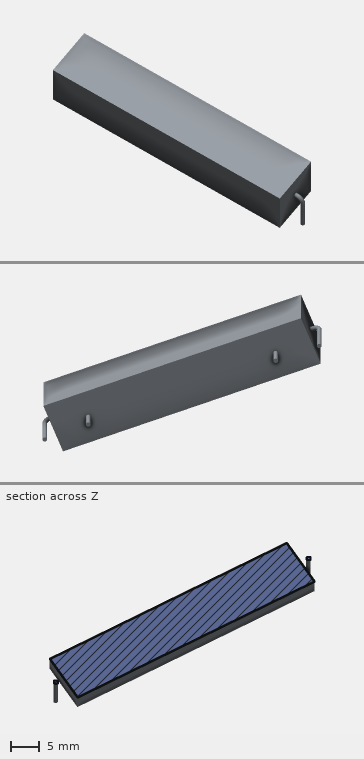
import cadquery as cq

body_length = 47.7
body_width = 9.5
body_height = 8.75

wire_diameter = 0.8
lead_span = 51.6
lead_drop = 2.95
bend_radius = 1.3
inner_pin_spacing = 34.7
embed = 0.5

wire_radius = wire_diameter / 2
end_lead_x = lead_span / 2 - wire_radius
exit_height = body_height / 2


def end_lead():
    """Lead leaving the +X end face and bending down to the tip."""
    path = (
        cq.Workplane("XZ")
        .moveTo(end_lead_x, -lead_drop)
        .lineTo(end_lead_x, exit_height - bend_radius)
        .radiusArc((end_lead_x - bend_radius, exit_height), -bend_radius)
        .lineTo(body_length / 2 - embed, exit_height)
    )
    tip = cq.Workplane("XY", origin=(end_lead_x, 0, -lead_drop))
    return tip.circle(wire_radius).sweep(path)


result = cq.Workplane("XY").box(body_length, body_width, body_height, centered=(True, True, False))

right_lead = end_lead()
result = result.union(right_lead).union(right_lead.mirror("YZ"))

inner_pins = (
    cq.Workplane("XY", origin=(0, 0, -lead_drop))
    .pushPoints([(-inner_pin_spacing / 2, 0), (inner_pin_spacing / 2, 0)])
    .circle(wire_radius)
    .extrude(lead_drop + embed)
)
result = result.union(inner_pins)